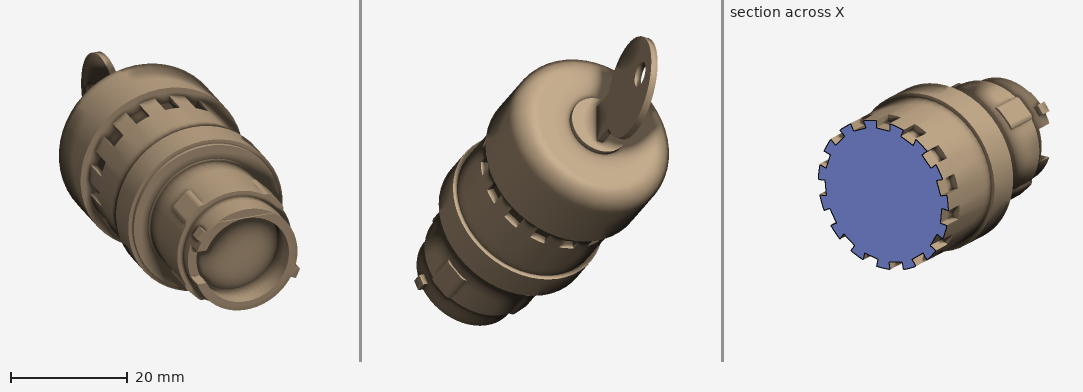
import cadquery as cq


key_thickness = 1.2
key_bow_radius = 9.0
key_hole_radius = 2.2
key_hole_x = 4.5
key_blade_width = 7.0

collar_start = 21.95
cap_start = 22.9
cap_end = 36.1
ring_start = 50.7
ring_end = 56.5
body_end = 57.15
neck_end = 57.5
barrel_end = 69.95
tube_end = 75.4

collar_radius = 5.3
cap_radius = 15.0
cap_rounding = 3.8
body_radius = 13.5
ring_radius = 14.25
neck_radius = 10.9
barrel_radius = 10.55
tube_radius = 9.5
tube_bore_radius = 7.9

slot_count = 15
slot_length = 5.05
slot_width = 2.7
slot_floor_radius = 12.1

pad_count = 4
pad_first_angle = 45
pad_length = 6.3
pad_top_radius = 10.85
pad_width = 5.1
pad_rounding = 1.1

lug_angles = (-24, 144)
lug_length = 2.0
lug_width = 1.9
lug_top_radius = 10.5
window_length = 3.2
window_width = 6.2
relief_depth = 0.2
relief_floor_z = 8.0


def disc(start, end, radius):
    """Solid cylinder about the X axis between two stations."""
    return cq.Workplane("YZ", origin=(start, 0, 0)).circle(radius).extrude(end - start)


def radial_block(start, end, width, inner, outer):
    """Box reaching along +Y from the inner to the outer radius."""
    return (
        cq.Workplane("XY")
        .box(end - start, outer - inner, width, centered=(False, False, True))
        .translate((start, inner, 0))
    )


def turn(shape, angle):
    """Turn a shape about the X axis; +Y is 0 degrees and +Z is 90 degrees."""
    return shape.rotate((0, 0, 0), (1, 0, 0), angle)


def make_key():
    bow_x = key_bow_radius
    layout = cq.Workplane("XZ")
    bow = layout.center(bow_x, 0).circle(key_bow_radius).extrude(key_thickness / 2, both=True)
    blade = cq.Workplane("XY").box(
        cap_start - bow_x, key_thickness, key_blade_width, centered=(False, True, True)
    ).translate((bow_x, 0, 0))
    hole = layout.center(key_hole_x, 0).circle(key_hole_radius).extrude(key_thickness, both=True)
    return bow.union(blade).cut(hole)


def make_turned_body():
    cap = disc(cap_start, cap_end, cap_radius).faces("<X").edges().fillet(cap_rounding)
    return (
        cap.union(disc(collar_start, cap_end, collar_radius))
        .union(disc(cap_end, body_end, body_radius))
        .union(disc(ring_start, ring_end, ring_radius))
        .union(disc(body_end, neck_end, neck_radius))
        .union(disc(neck_end, barrel_end, barrel_radius))
    )


def cut_grip_slots(body):
    slot = radial_block(cap_end, cap_end + slot_length, slot_width, slot_floor_radius, cap_radius)
    for index in range(slot_count):
        body = body.cut(turn(slot, 90 + index * 360 / slot_count))
    return body


def add_guide_pads(body):
    pad_root_radius = pad_top_radius / 2
    pad = radial_block(
        barrel_end - pad_length, barrel_end, pad_width, pad_root_radius, pad_top_radius
    )
    pad = pad.faces(">Y").edges("|X").fillet(pad_rounding)
    for index in range(pad_count):
        body = body.union(turn(pad, pad_first_angle + index * 360 / pad_count))
    return body


def make_rear_tube():
    tube = disc(barrel_end, tube_end, tube_radius)
    lug = radial_block(tube_end - lug_length, tube_end, lug_width, tube_bore_radius, lug_top_radius)
    for angle in lug_angles:
        tube = tube.union(turn(lug, angle))
    tube = tube.cut(disc(barrel_end, tube_end, tube_bore_radius))

    window = radial_block(tube_end - window_length, tube_end, window_width, 0, cap_radius)
    tube = tube.cut(turn(window, 180))

    relief = radial_block(tube_end - relief_depth, tube_end, 2 * cap_radius, relief_floor_z, cap_radius)
    return tube.cut(turn(relief, 90))


body = add_guide_pads(cut_grip_slots(make_turned_body()))
result = body.union(make_rear_tube()).union(make_key())